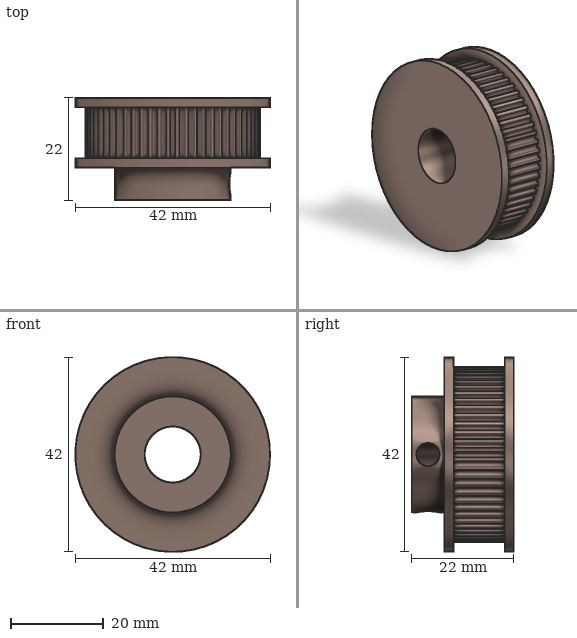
import cadquery as cq
import math

FLANGE_DIAMETER = 42.0
FLANGE_THICKNESS = 2.0
TOTAL_LENGTH = 22.0
HUB_DIAMETER = 25.0
HUB_LENGTH = 7.0
BORE_DIAMETER = 12.0
SET_SCREW_DIAMETER = 5.0

TOOTH_COUNT = 60
RIM_DIAMETER = 37.7
GROOVE_DEPTH = 0.75
GROOVE_RADIUS = 0.55
TIP_RADIUS = 0.145

FRONT_Y = -TOTAL_LENGTH / 2
HUB_END_Y = FRONT_Y + HUB_LENGTH
BACK_Y = TOTAL_LENGTH / 2
RIM_START_Y = HUB_END_Y + FLANGE_THICKNESS
RIM_END_Y = BACK_Y - FLANGE_THICKNESS

RIM_RADIUS = RIM_DIAMETER / 2
PITCH_ANGLE = 2 * math.pi / TOOTH_COUNT


def disc(diameter, start_y, end_y):
    """Solid cylinder around the Y axis between two Y positions."""
    plane = cq.Workplane("XZ", origin=(0, end_y, 0))
    return plane.circle(diameter / 2).extrude(end_y - start_y)


def polar(radius, angle):
    """Point in the rim profile plane at a distance and angle from the axis."""
    return (radius * math.cos(angle), radius * math.sin(angle))


def toothed_rim():
    """Rim whose grooves have a round root and rounded tips, one groove centred on +X."""
    root_radius = RIM_RADIUS - GROOVE_DEPTH
    root_centre = root_radius + GROOVE_RADIUS
    tip_centre = RIM_RADIUS - TIP_RADIUS

    centre_distance = GROOVE_RADIUS + TIP_RADIUS
    tip_angle = math.acos(
        (root_centre**2 + tip_centre**2 - centre_distance**2) / (2 * root_centre * tip_centre)
    )
    tip_x, tip_z = polar(tip_centre, tip_angle)
    touch_share = GROOVE_RADIUS / centre_distance
    touch_x = root_centre + (tip_x - root_centre) * touch_share
    touch_z = tip_z * touch_share
    touch_radius = math.hypot(touch_x, touch_z)
    touch_angle = math.atan2(touch_z, touch_x)

    inward_angle = math.atan2(touch_z - tip_z, touch_x - tip_x)
    middle_direction = (inward_angle + tip_angle) / 2
    middle_x = tip_x + TIP_RADIUS * math.cos(middle_direction)
    middle_z = tip_z + TIP_RADIUS * math.sin(middle_direction)
    middle_radius = math.hypot(middle_x, middle_z)
    middle_angle = math.atan2(middle_z, middle_x)

    outline = cq.Workplane("XZ", origin=(0, RIM_END_Y, 0)).moveTo(*polar(RIM_RADIUS, -tip_angle))
    for index in range(TOOTH_COUNT):
        groove = index * PITCH_ANGLE
        outline = (
            outline
            .threePointArc(
                polar(middle_radius, groove - middle_angle),
                polar(touch_radius, groove - touch_angle),
            )
            .threePointArc(polar(root_radius, groove), polar(touch_radius, groove + touch_angle))
            .threePointArc(
                polar(middle_radius, groove + middle_angle),
                polar(RIM_RADIUS, groove + tip_angle),
            )
            .threePointArc(
                polar(RIM_RADIUS, groove + PITCH_ANGLE / 2),
                polar(RIM_RADIUS, groove + PITCH_ANGLE - tip_angle),
            )
        )
    return outline.close().extrude(RIM_END_Y - RIM_START_Y)


def set_screw_hole(plane_name, distance):
    """Radial hole from the axis out through one side of the hub, halfway along it."""
    hub_middle = (0, (FRONT_Y + HUB_END_Y) / 2, 0)
    plane = cq.Workplane(plane_name, origin=hub_middle)
    return plane.circle(SET_SCREW_DIAMETER / 2).extrude(distance)


pulley = (
    toothed_rim()
    .union(disc(FLANGE_DIAMETER, HUB_END_Y, RIM_START_Y))
    .union(disc(FLANGE_DIAMETER, RIM_END_Y, BACK_Y))
    .union(disc(HUB_DIAMETER, FRONT_Y, HUB_END_Y))
)

result = (
    pulley
    .cut(disc(BORE_DIAMETER, FRONT_Y, BACK_Y))
    .cut(set_screw_hole("YZ", HUB_DIAMETER / 2))
    .cut(set_screw_hole("XY", -HUB_DIAMETER / 2))
)